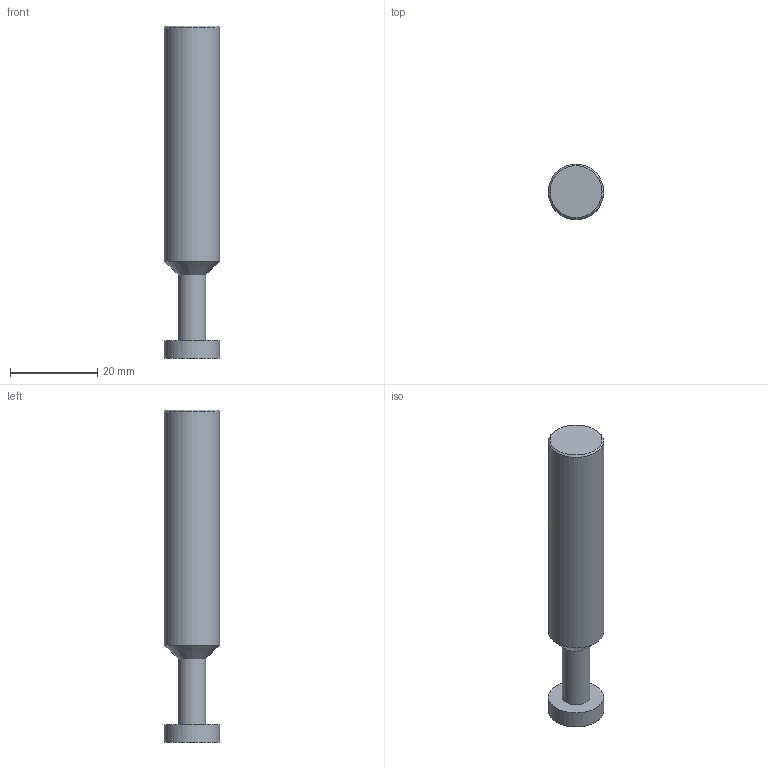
import cadquery as cq

body_diameter = 12.7
total_length = 76.2
neck_diameter = body_diameter / 2
head_thickness = 3.97
shoulder_height = 19.05
tip_chamfer = 0.381

body_radius = body_diameter / 2
neck_radius = neck_diameter / 2
taper_height = body_radius - neck_radius
body_start = shoulder_height + taper_height


def half_profile():
    """Half section of the pin in the XZ plane, from the axis outwards."""
    return (
        cq.Workplane("XZ")
        .moveTo(0, 0)
        .lineTo(body_radius, 0)
        .lineTo(body_radius, head_thickness)
        .lineTo(neck_radius, head_thickness)
        .lineTo(neck_radius, shoulder_height)
        .lineTo(body_radius, body_start)
        .lineTo(body_radius, total_length - tip_chamfer)
        .lineTo(body_radius - tip_chamfer, total_length)
        .lineTo(0, total_length)
        .close()
    )


result = half_profile().revolve(360, (0, 0, 0), (0, 1, 0))